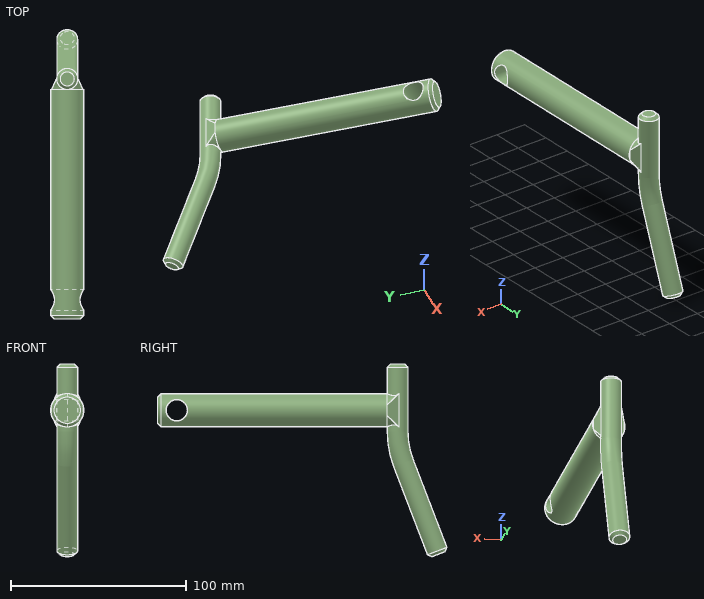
import cadquery as cq
import math


PIN_DIAMETER = 19.0
PIN_LENGTH = 131.0
PIN_CHAMFER = 2.0
CROSS_HOLE_DIAMETER = 12.0
CROSS_HOLE_TO_TIP = 11.0

HANDLE_DIAMETER = 12.0
HANDLE_CHAMFER = 2.0
HANDLE_TOP_Z = 26.5
STRAIGHT_LENGTH = 38.75
BEND_RADIUS = 50.0
BEND_ANGLE = 21.0
LOWER_LEG_LENGTH = 55.72

WELD_FLAT_X = 9.0
WELD_BACK_Y = 0.7
WELD_BACK_WIDTH = 3.0

PIN_RADIUS = PIN_DIAMETER / 2
HANDLE_RADIUS = HANDLE_DIAMETER / 2
PIN_END_Y = -HANDLE_RADIUS
PIN_TIP_Y = PIN_END_Y - PIN_LENGTH


def make_pin():
    """Round pin that butts against the handle, chamfered and cross-drilled near its tip."""
    pin = (
        cq.Workplane("XZ", origin=(0, PIN_END_Y, 0))
        .circle(PIN_RADIUS)
        .extrude(PIN_LENGTH)
        .faces("<Y")
        .chamfer(PIN_CHAMFER)
    )
    cross_hole = (
        cq.Workplane("YZ", origin=(0, PIN_TIP_Y + CROSS_HOLE_TO_TIP, 0))
        .circle(CROSS_HOLE_DIAMETER / 2)
        .extrude(PIN_RADIUS, both=True)
    )
    return pin.cut(cross_hole)


def make_handle():
    """Round bar swept down a straight, a bend towards +Y and a sloping leg, both ends chamfered."""
    angle = math.radians(BEND_ANGLE)
    bend_start_z = HANDLE_TOP_Z - STRAIGHT_LENGTH

    def bend_point(turn):
        return (BEND_RADIUS * (1 - math.cos(turn)), bend_start_z - BEND_RADIUS * math.sin(turn))

    bend_end_y, bend_end_z = bend_point(angle)
    leg_end = (
        bend_end_y + LOWER_LEG_LENGTH * math.sin(angle),
        bend_end_z - LOWER_LEG_LENGTH * math.cos(angle),
    )
    centre_line = (
        cq.Workplane("YZ")
        .moveTo(0, HANDLE_TOP_Z)
        .lineTo(0, bend_start_z)
        .threePointArc(bend_point(angle / 2), bend_point(angle))
        .lineTo(*leg_end)
    )
    bar = cq.Workplane("XY", origin=(0, 0, HANDLE_TOP_Z)).circle(HANDLE_RADIUS).sweep(centre_line)
    return bar.faces("<Z or >Z").chamfer(HANDLE_CHAMFER)


def make_weld(side, handle):
    """Weld on one side (+1 or -1 in X): a ruled blend from the handle flank to the pin end face."""
    handle_surface_x = math.sqrt(HANDLE_RADIUS**2 - WELD_BACK_Y**2)
    outer_x = side * handle_surface_x
    inner_x = side * (handle_surface_x - WELD_BACK_WIDTH)
    back = (
        cq.Workplane("XZ", origin=(0, WELD_BACK_Y, 0))
        .moveTo(outer_x, -PIN_RADIUS)
        .lineTo(outer_x, PIN_RADIUS)
        .lineTo(inner_x, PIN_RADIUS)
        .lineTo(inner_x, -PIN_RADIUS)
        .close()
    )
    flat_angle = math.acos(WELD_FLAT_X / PIN_RADIUS)
    flat_half_height = PIN_RADIUS * math.sin(flat_angle)
    arc_angle = (flat_angle + math.pi / 2) / 2
    arc_x = side * PIN_RADIUS * math.cos(arc_angle)
    arc_z = PIN_RADIUS * math.sin(arc_angle)
    flat_x = side * WELD_FLAT_X
    front = (
        cq.Workplane("XZ", origin=(0, PIN_END_Y, 0))
        .moveTo(flat_x, -flat_half_height)
        .lineTo(flat_x, flat_half_height)
        .threePointArc((arc_x, arc_z), (0, PIN_RADIUS))
        .lineTo(0, -PIN_RADIUS)
        .threePointArc((arc_x, -arc_z), (flat_x, -flat_half_height))
        .close()
    )
    blend = cq.Solid.makeLoft([back.val(), front.val()], True)
    return cq.Workplane(blend).cut(handle)


pin = make_pin()
handle = make_handle()
welds = [make_weld(side, handle) for side in (-1, 1)]

result = cq.Compound.makeCompound([pin.val(), handle.val(), *[weld.val() for weld in welds]])